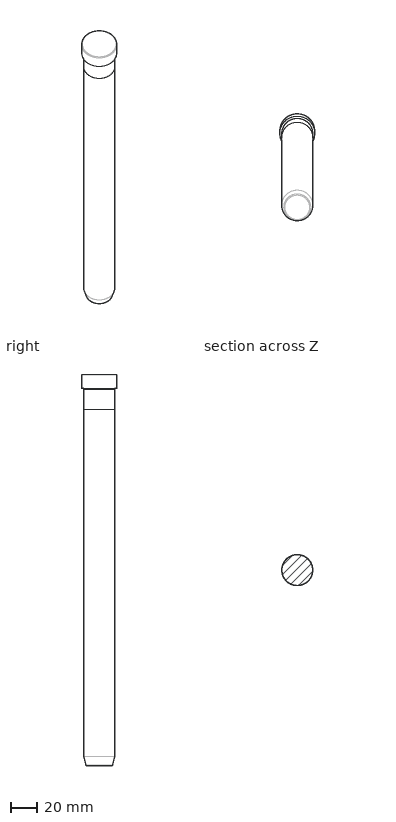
import cadquery as cq

total_length = 300.0
head_diameter = 27.0
shank_diameter = 24.0

head_height = 10.8
collar_bottom_depth = 27.0
tip_length = 7.2
tip_diameter = 20.5

relief_width = 0.5
relief_depth = 0.15

head_rounding = 0.5
tip_rounding = 1.0

joint_z = total_length - collar_bottom_depth
head_bottom_z = total_length - head_height
relief_bottom_z = head_bottom_z - relief_width

head_radius = head_diameter / 2
shank_radius = shank_diameter / 2
tip_radius = tip_diameter / 2
relief_radius = shank_radius - relief_depth


def turned(profile):
    """Revolve a half profile of (radius, height) points about Z, with the seam on -X."""
    points = [(-radius, height) for radius, height in profile]
    return cq.Workplane("XZ").polyline(points).close().revolve(360, (0, 0, 0), (0, 1, 0))


def make_headed_collar():
    """Head with a rounded top rim and a relieved collar of shank diameter below it."""
    return turned([
        (0, joint_z),
        (shank_radius, joint_z),
        (shank_radius, relief_bottom_z),
        (relief_radius, relief_bottom_z),
        (relief_radius, head_bottom_z),
        (head_radius, head_bottom_z),
        (head_radius, total_length),
        (0, total_length),
    ]).faces(">Z").edges().fillet(head_rounding)


def make_shaft():
    """Long plain shaft ending in a tapered tip with a rounded end."""
    return turned([
        (0, 0),
        (tip_radius, 0),
        (shank_radius, tip_length),
        (shank_radius, joint_z),
        (0, joint_z),
    ]).faces("<Z").edges().fillet(tip_rounding)


headed_collar = make_headed_collar()
shaft = make_shaft()

result = cq.Compound.makeCompound([headed_collar.val(), shaft.val()])